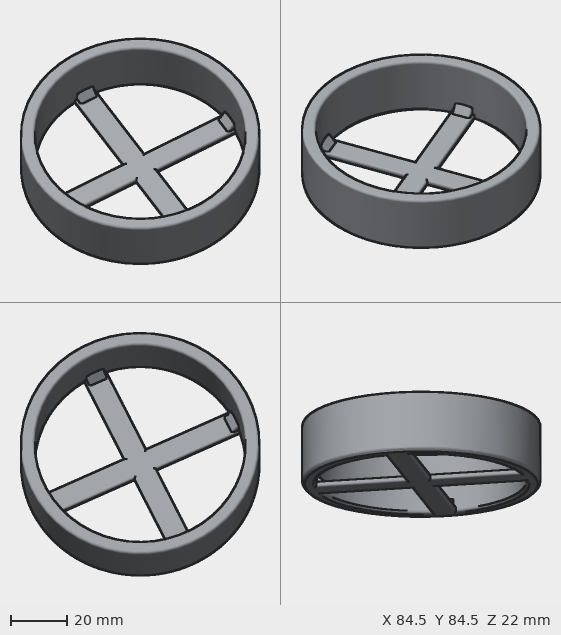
import cadquery as cq

outer_diameter = 84.5
inner_diameter = 74.5
ring_height = 22.0
rim_fillet = 1.0
bottom_chamfer = 1.0
chamfer_blend = 1.0

bar_width = 8.5
bar_thickness = 2.2
bar_fillet = 0.8

gusset_width = 6.9
gusset_leg = 2.95
gusset_fillet = 0.8

inner_radius = inner_diameter / 2
embed_radius = (outer_diameter + inner_diameter) / 4


def make_ring():
    """Ring with rounded rims and a chamfered lower outer edge that blends into the wall."""
    disc = cq.Workplane("XY").circle(outer_diameter / 2).extrude(ring_height)
    disc = disc.faces("<Z").edges().chamfer(bottom_chamfer)
    chamfer_top = cq.selectors.BoxSelector(
        (-outer_diameter, -outer_diameter, bottom_chamfer / 2),
        (outer_diameter, outer_diameter, ring_height / 2),
    )
    disc = disc.edges("%CIRCLE").edges(chamfer_top).fillet(chamfer_blend)
    ring = disc.faces(">Z").workplane().hole(inner_diameter)
    ring = ring.faces(">Z").edges().fillet(rim_fillet)
    return ring.faces("<Z").edges(cq.selectors.RadiusNthSelector(0)).fillet(rim_fillet)


def make_bar():
    """Bar along X with rounded long edges."""
    bar = cq.Workplane("XY").box(2 * embed_radius, bar_width, bar_thickness, centered=(True, True, False))
    return bar.edges("|X").fillet(bar_fillet)


def make_gusset():
    """45 degree wedge at the +X end of a bar, with its sloped side edges rounded."""
    foot_radius = inner_radius - gusset_leg
    top_z = bar_thickness + embed_radius - foot_radius
    base_z = bar_thickness / 2
    wedge = (
        cq.Workplane("XZ")
        .moveTo(foot_radius, bar_thickness)
        .lineTo(embed_radius, top_z)
        .lineTo(embed_radius, base_z)
        .lineTo(foot_radius, base_z)
        .close()
        .extrude(gusset_width / 2, both=True)
    )
    slope_sides = wedge.edges("(not |Y) and (not |X) and (not |Z)")
    return slope_sides.fillet(gusset_fillet)


result = make_ring()
for angle in (0, 90):
    result = result.union(make_bar().rotate((0, 0, 0), (0, 0, 1), angle))
for angle in (0, 90, 180, 270):
    result = result.union(make_gusset().rotate((0, 0, 0), (0, 0, 1), angle))